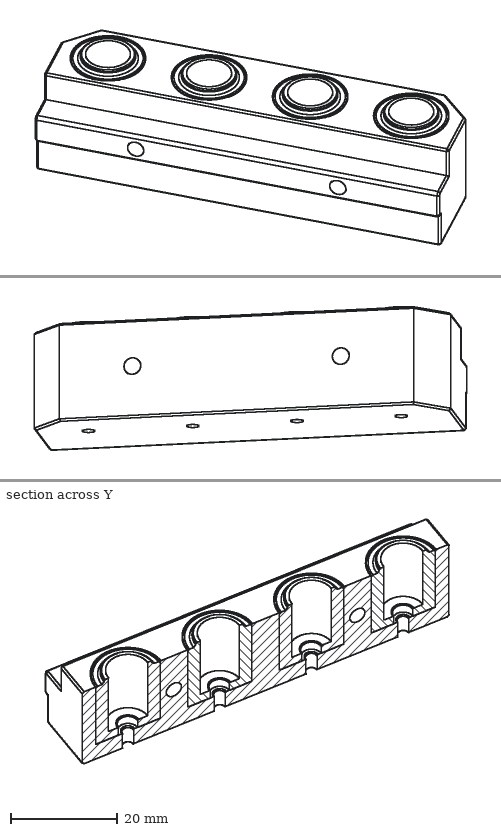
import cadquery as cq

length = 80.0
block_depth = 22.7
block_height = 19.0
edge_chamfer = 0.4
corner_cut = 6.0

upper_depth = 16.8
lower_depth = 21.8
lip_top = 13.0
lip_underside = 7.0
lip_chamfer = 0.6

cross_hole_diameter = 3.2
cross_hole_spacing = 40.0
cross_hole_height = 10.0

bushing_count = 4
bushing_pitch = 20.0
bushing_y = -8.5
bushing_diameter = 13.9
bushing_base_z = 4.0
bushing_rim_chamfer = 0.3
pocket_rim_chamfer = 0.2
bushing_base_thickness = 2.0
bushing_bore_diameter = 8.5
bushing_bottom_hole_diameter = 4.1
bottom_hole_sink_width = 0.2
bottom_hole_sink_depth = 0.2

collar_top = 20.0
collar_diameter = 10.5
collar_taper = 0.5
collar_chamfer = 0.2

drain_diameter = 2.3
drain_chamfer = 0.2

bushing_places = [
    ((i - (bushing_count - 1) / 2) * bushing_pitch, bushing_y) for i in range(bushing_count)
]


def make_stepped_bar():
    """Side profile of the block, extruded over its full length."""
    profile = [
        (0, 0),
        (-lower_depth, 0),
        (-lower_depth, lip_underside),
        (-block_depth + lip_chamfer, lip_underside),
        (-block_depth, lip_underside + lip_chamfer),
        (-block_depth, lip_top - lip_chamfer),
        (-block_depth + lip_chamfer, lip_top),
        (-upper_depth, lip_top),
        (-upper_depth, block_height),
        (0, block_height),
    ]
    return cq.Workplane("YZ").polyline(profile).close().extrude(length / 2, both=True)


def cut_rear_corners(block):
    """Cut the two rear vertical corners at 45 degrees."""
    return block.edges("|Z and >Y").chamfer(corner_cut)


def chamfer_outline(block):
    """Chamfer the outlines of the top, bottom and end faces, but not the upright edges of the corner cuts."""
    outline = block.faces("<Z or >Z or <X or >X").edges()
    front_of_corner_cuts = -corner_cut - edge_chamfer

    def is_corner_cut_upright(edge):
        box = edge.BoundingBox()
        return edge.Center().y > front_of_corner_cuts and box.zlen > edge_chamfer

    return outline.filter(lambda edge: not is_corner_cut_upright(edge)).chamfer(edge_chamfer)


def cut_cross_holes(block):
    """Two plain holes along Y."""
    for x in (-cross_hole_spacing / 2, cross_hole_spacing / 2):
        hole = (
            cq.Workplane("XZ", origin=(x, 0, cross_hole_height))
            .circle(cross_hole_diameter / 2)
            .extrude(block_depth)
        )
        block = block.cut(hole)
    return block


def revolve_about_z(section):
    """Solid of revolution from a half section of (radius, height) points."""
    return cq.Workplane("XZ").polyline(section).close().revolve(360, (0, 0), (0, 1))


def cut_bushing_seats(block):
    """A flat-bottomed pocket for each bushing, with a drain hole in its floor; both rims are chamfered."""
    drain = drain_diameter / 2
    pocket = bushing_diameter / 2
    seat = revolve_about_z([
        (0, 0),
        (drain, 0),
        (drain, bushing_base_z - drain_chamfer),
        (drain + drain_chamfer, bushing_base_z),
        (pocket, bushing_base_z),
        (pocket, block_height - pocket_rim_chamfer),
        (pocket + pocket_rim_chamfer, block_height),
        (0, block_height),
    ])
    for x, y in bushing_places:
        block = block.cut(seat.translate((x, y, 0)))
    return block


def make_block():
    block = make_stepped_bar()
    block = cut_rear_corners(block)
    block = chamfer_outline(block)
    block = cut_cross_holes(block)
    return cut_bushing_seats(block)


def make_bushing(x, y):
    """Turned bushing: half section of radius and height, revolved about its axis."""
    outer = bushing_diameter / 2
    collar = collar_diameter / 2
    bore = bushing_bore_diameter / 2
    bottom_hole = bushing_bottom_hole_diameter / 2
    bore_floor = bushing_base_z + bushing_base_thickness
    section = [
        (bottom_hole, bushing_base_z),
        (outer, bushing_base_z),
        (outer, block_height - bushing_rim_chamfer),
        (outer - bushing_rim_chamfer, block_height),
        (collar + collar_taper, block_height),
        (collar, block_height + collar_taper),
        (collar, collar_top - collar_chamfer),
        (collar - collar_chamfer, collar_top),
        (bore, collar_top),
        (bore, bore_floor),
        (bottom_hole + bottom_hole_sink_width, bore_floor),
        (bottom_hole, bore_floor - bottom_hole_sink_depth),
    ]
    return revolve_about_z(section).translate((x, y, 0))


block = make_block()
bushings = [make_bushing(x, y) for x, y in bushing_places]

result = cq.Compound.makeCompound([block.val(), *[bushing.val() for bushing in bushings]])